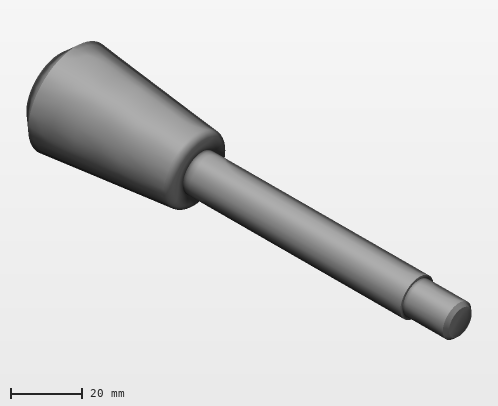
import cadquery as cq

total_length = 149.0
knob_length = 53.0
tip_length = 16.0

knob_large_diameter = 35.0
knob_small_diameter = 24.5
bevel = 5.2
knob_rounding = 2.4

rod_diameter = 14.0
tip_diameter = 12.0
tip_chamfer = 1.2

knob_start = -total_length / 2
knob_end = knob_start + knob_length
tip_end = total_length / 2
shoulder = tip_end - tip_length


def make_knob():
    """Cone with a beveled large end and a rounded small end."""
    large_radius = knob_large_diameter / 2
    profile = (
        cq.Workplane("XY")
        .moveTo(knob_start, 0)
        .lineTo(knob_start, large_radius - bevel)
        .lineTo(knob_start + bevel, large_radius)
        .lineTo(knob_end, knob_small_diameter / 2)
        .lineTo(knob_end, 0)
        .close()
    )
    knob = profile.revolve(360, (0, 0, 0), (1, 0, 0))
    return knob.faces(">X").edges().fillet(knob_rounding)


def make_cylinder(start, end, diameter):
    """Solid cylinder on the X axis between two positions."""
    return cq.Workplane("YZ").workplane(offset=start).circle(diameter / 2).extrude(end - start)


rod = make_cylinder(knob_end, shoulder, rod_diameter)
tip = make_cylinder(shoulder, tip_end, tip_diameter).faces(">X").chamfer(tip_chamfer)

result = make_knob().union(rod).union(tip)